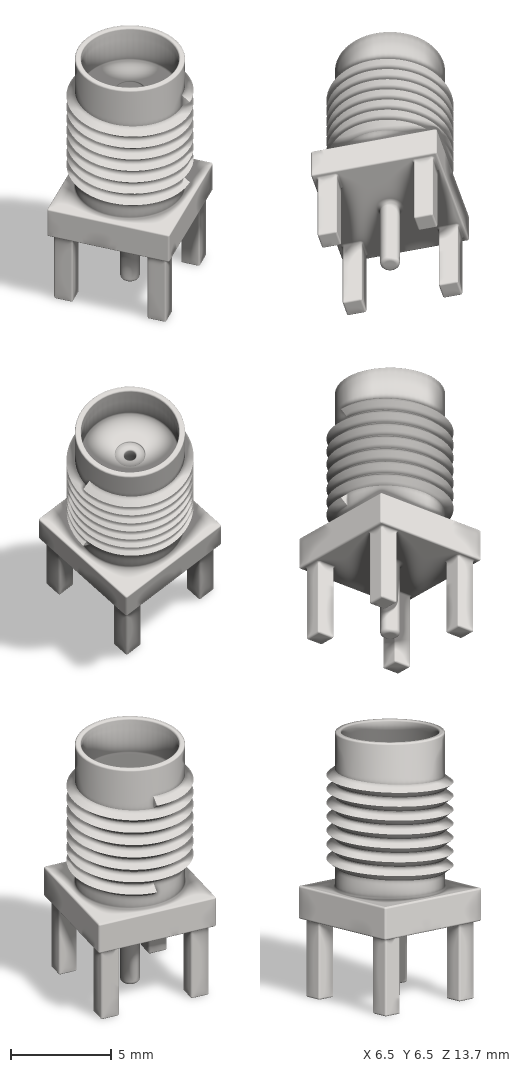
import cadquery as cq

edge_round = 0.1

flange_side = 6.5
flange_height = 1.7

total_height = 13.7
leg_length = 4.0
barrel_top = total_height - leg_length
barrel_radius = 2.75

leg_side = 1.0
leg_offset = 2.48

pin_radius = 0.5
pin_round = 0.19

bore_radius = 2.45
bore_depth = 2.0
bore_floor = barrel_top - bore_depth

dish_radius = 0.75
dish_depth = 0.1
dish_round = 0.048
dish_floor = bore_floor - dish_depth

contact_hole_radius = 0.3
contact_hole_depth = 1.0

thread_pitch = 0.71
thread_turns = 7
thread_crest_radius = 3.18
thread_root_width = 0.66
thread_start = flange_height + 1.03
thread_overlap = 0.03

root_band = 0.001
axis_reach = 0.14


def round_root(body, height, reach, radius):
    """Fillet the edges lying at this height whose centres are within reach of the axis in X and Y."""
    low_corner = (-reach, -reach, height - root_band)
    high_corner = (reach, reach, height + root_band)
    roots = body.edges(cq.selectors.BoxSelector(low_corner, high_corner))
    return roots.fillet(radius)


def make_flange():
    block = cq.Workplane("XY").box(flange_side, flange_side, flange_height, centered=(True, True, False))
    return block.edges().fillet(edge_round)


def make_legs():
    """Four square legs, rounded everywhere except where they join the flange."""
    legs = (
        cq.Workplane("XY")
        .rect(2 * leg_offset, 2 * leg_offset, forConstruction=True)
        .vertices()
        .rect(leg_side, leg_side)
        .extrude(-leg_length)
    )
    return legs.edges("|Z or <Z").fillet(edge_round)


def make_pin():
    pin = cq.Workplane("XY").circle(pin_radius).extrude(-leg_length)
    return pin.faces("<Z").edges().fillet(pin_round)


def make_barrel():
    barrel = cq.Workplane("XY").workplane(offset=flange_height).circle(barrel_radius)
    return barrel.extrude(barrel_top - flange_height).faces(">Z").edges().fillet(edge_round)


def make_thread():
    """Left-hand V ridge that begins and ends square on the +X side of the barrel."""
    root_radius = barrel_radius - thread_overlap
    flank_slope = thread_root_width / 2 / (thread_crest_radius - barrel_radius)
    half_width = flank_slope * (thread_crest_radius - root_radius)
    helix = cq.Wire.makeHelix(
        thread_pitch,
        thread_pitch * thread_turns,
        barrel_radius,
        center=cq.Vector(0, 0, thread_start),
        lefthand=True,
    )
    ridge = (
        cq.Workplane("XZ")
        .moveTo(root_radius, thread_start - half_width)
        .lineTo(thread_crest_radius, thread_start)
        .lineTo(root_radius, thread_start + half_width)
        .close()
    )
    return ridge.sweep(cq.Workplane(obj=helix), isFrenet=True)


def make_pocket(radius, top, depth, rounding):
    """Round cutter on the Z axis whose pocket has a rounded mouth and a rounded floor corner."""
    floor = top - depth
    profile = (
        cq.Workplane("XZ")
        .moveTo(0, top)
        .lineTo(radius + rounding, top)
        .radiusArc((radius, top - rounding), -rounding)
        .lineTo(radius, floor + rounding)
        .radiusArc((radius - rounding, floor), rounding)
        .lineTo(0, floor)
        .close()
    )
    return profile.revolve(360, (0, 0, 0), (0, 1, 0))


result = make_flange().union(make_legs())
result = round_root(result, 0, leg_offset + leg_side / 2 + edge_round, edge_round)

result = result.union(make_pin())
result = round_root(result, 0, axis_reach, pin_round)

result = result.union(make_barrel())
result = round_root(result, flange_height, axis_reach, edge_round)

result = result.cut(make_pocket(bore_radius, barrel_top, bore_depth, edge_round))
result = result.cut(make_pocket(dish_radius, bore_floor, dish_depth, dish_round))
result = result.cut(make_pocket(contact_hole_radius, dish_floor, contact_hole_depth, edge_round))

result = result.union(make_thread())